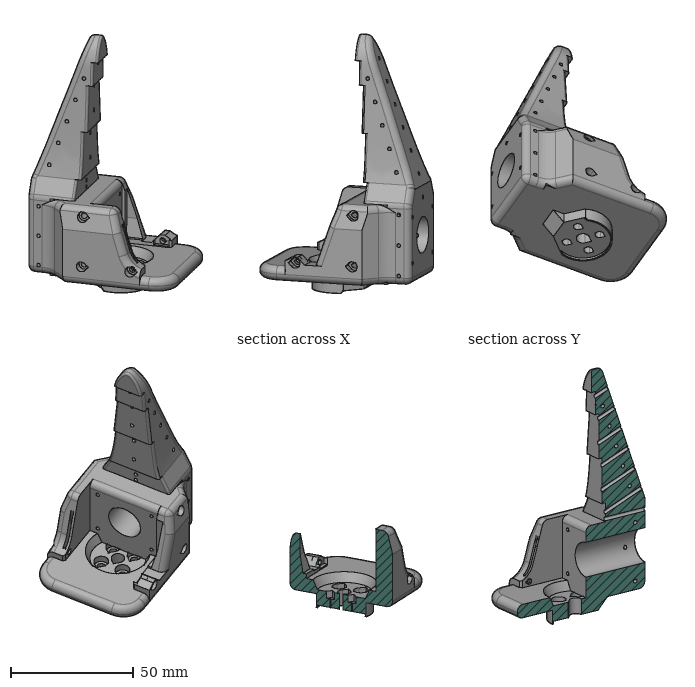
import cadquery as cq
import math

LENGTH = 65.2
HALF_WIDTH = 24.0
REAR_HALF_WIDTH = 16.0
BLOCK_HEIGHT = 33.0
FINGER_TOP = 100.38
EDGE_RADIUS = 3.0
REAR_EDGE_RADIUS = 2.8
CLEARANCE = 1.0
SELECT_TOLERANCE = 0.1

FLARE_RADIUS = 9.0
FLARE_ANGLE = 45.0
FLARE_END_X = 18.2
PLATE_THICKNESS = 6.0
PLATE_CORNER_RADIUS = 10.0
PLATE_EDGE_RADIUS = 2.99

BLOCK_REAR_X = 10.0
BLOCK_FRONT_X = 30.3
BLOCK_EDGE_RADIUS = 2.75
WALL_INNER_Y = 16.0
WALL_SPLIT_X = 27.0
WALL_FRONT_X = 51.4
WALL_FRONT_HEIGHT = 8.8
WALL_SLOPE_TOP_X = 39.8
WALL_SLOPE_BOTTOM = (45.3, 15.0)
PLUS_SLOPE_TOP_X = 29.8
WALL_CORNER_CHAMFER = 0.9
TAPER_START_Z = 23.4
TAPER_ANGLE = 15.0

NOTCH_FLOOR_Z = 7.4
NOTCH_START_X = 38.8
NOTCH_END_X = 43.0
NOTCH_RAMP = 3.1

PLUS_POCKET_X = (31.4, 38.9)
PLUS_POCKET_FLOOR_Z = 8.0
PLUS_POCKET_FLOOR_DEPTH = 1.7
PLUS_POCKET_DEPTH = 3.0
PLUS_POCKET_TAPER_HEIGHT = 8.0
PLUS_NUT_X = (43.9, 50.5)
PLUS_NUT_Y = (16.0, 17.8)
MINUS_NUT_X = (41.9, 48.4)
MINUS_NUT_Y = (-18.3, -17.1)
NUT_FLOOR_Z = 6.5

FINGER_SLOPE_START_Z = 39.1
FINGER_SLOPE_ANGLE = 20.0
FINGER_BASE_Z = 41.0
FINGER_SHOULDER = (11.9, FINGER_BASE_Z)
SHOULDER_LEAN = 0.3
FINGER_SIDE = [(10.0, 50.0), (8.4, 66.0), (6.9, 84.0), (5.0, 95.0)]
SHOULDER_FOOT_RADIUS = 5.0
FINGER_ROOT_Z = 10.0
STEPS = [
    (FINGER_BASE_Z, 20.35),
    (60.8, 22.0),
    (80.4, 23.6),
    (90.4, 25.4),
    (FINGER_TOP, 27.4),
]
STEP_EDGE_RADIUS = 1.0

CUP_X = 35.2
CUP_TOP_RADIUS = 13.3
CUP_FLOOR_RADIUS = 11.4
CUP_FLOOR_Z = 2.0
BOSS_RADIUS = 12.0
BOSS_DEPTH = 6.0
OCTAGON_APOTHEM = 11.2
OCTAGON_DEPTH = 4.9

PIN_DIAMETER = 1.5
BORE_DIAMETER = 15.0
BORE_CENTER = (0.35, 18.45)
FACE_PIN_SPACING = (25.3, 19.1)
TOP_PIN_Z = 34.1
SIDE_PIN_X = 5.0
SIDE_PIN_Z = (3.8, 16.5, 29.25)
FINGER_PIN_PITCH = 10.0
FINGER_SIDE_PIN_START = (7.85, 45.8)
FINGER_SIDE_PIN_COUNT = 5
FINGER_BACK_PIN_START_Z = 43.85
FINGER_BACK_PIN_COUNT = 6
CUP_SCREW_OFFSET = 5.0
CUP_SCREW_RADIUS = 1.75
CUP_SCREW_HEAD_RADIUS = 3.0
CUP_SCREW_HEAD_DEPTH = 3.0
CUP_CENTER_RADIUS = 2.7
WALL_SCREW_Z = (8.0, 29.0)
MINUS_SCREW_X = 26.2
PLUS_SCREW_X = 22.4
FRONT_SCREW_X = 47.1
WALL_SCREW_RADIUS = 1.2
WALL_SCREW_HEAD_RADIUS = 2.1
WALL_SCREW_HEAD_DEPTH = 3.5
WALL_SCREW_DEPTH = 9.0


def box(x_range, y_range, z_range):
    size = [r[1] - r[0] for r in (x_range, y_range, z_range)]
    corner = (x_range[0], y_range[0], z_range[0])
    return cq.Workplane("XY").box(*size, centered=False).translate(corner)


def plan_outline(front_x):
    """Plan of the body: narrow rear, S-shaped flare to full width, front end at front_x."""
    angle = math.radians(FLARE_ANGLE)
    arc_end_y = REAR_HALF_WIDTH + FLARE_RADIUS * (1 - math.cos(angle))
    arc_end_x = FLARE_END_X - (HALF_WIDTH - arc_end_y) / math.tan(angle)
    arc_start_x = arc_end_x - FLARE_RADIUS * math.sin(angle)
    mid_x = arc_start_x + FLARE_RADIUS * math.sin(angle / 2)
    mid_y = REAR_HALF_WIDTH + FLARE_RADIUS * (1 - math.cos(angle / 2))
    return (
        cq.Workplane("XY")
        .moveTo(0, -REAR_HALF_WIDTH)
        .lineTo(arc_start_x, -REAR_HALF_WIDTH)
        .threePointArc((mid_x, -mid_y), (arc_end_x, -arc_end_y))
        .lineTo(FLARE_END_X, -HALF_WIDTH)
        .lineTo(front_x, -HALF_WIDTH)
        .lineTo(front_x, HALF_WIDTH)
        .lineTo(FLARE_END_X, HALF_WIDTH)
        .lineTo(arc_end_x, arc_end_y)
        .threePointArc((mid_x, mid_y), (arc_start_x, REAR_HALF_WIDTH))
        .lineTo(0, REAR_HALF_WIDTH)
        .close()
    )


def make_plate():
    plate = plan_outline(LENGTH).extrude(PLATE_THICKNESS)
    plate = plate.edges("|Z and >X").fillet(PLATE_CORNER_RADIUS)
    plate = plate.edges("|Z and <X").fillet(REAR_EDGE_RADIUS)
    return plate.faces("<Z or >Z").edges().fillet(PLATE_EDGE_RADIUS)


def tapered_envelope():
    """Block envelope: plan outline with rounded rear and underside, sides leaning in near the top."""
    envelope = plan_outline(WALL_FRONT_X).extrude(BLOCK_HEIGHT)
    envelope = envelope.edges("|Z and <X").fillet(REAR_EDGE_RADIUS)
    envelope = envelope.edges("<Z").edges("not >X").fillet(EDGE_RADIUS)
    top_half_width = HALF_WIDTH - (BLOCK_HEIGHT - TAPER_START_Z) * math.tan(math.radians(TAPER_ANGLE))
    section = (
        cq.Workplane("YZ")
        .polyline([
            (-HALF_WIDTH, 0), (HALF_WIDTH, 0),
            (HALF_WIDTH, TAPER_START_Z), (top_half_width, BLOCK_HEIGHT),
            (-top_half_width, BLOCK_HEIGHT), (-HALF_WIDTH, TAPER_START_Z),
        ])
        .close()
        .extrude(WALL_FRONT_X)
    )
    return envelope.intersect(section)


def minus_wall_stock():
    """-Y wall seen from the side: sloped front, then a concave sweep down to the low front end."""
    return (
        cq.Workplane("XZ")
        .moveTo(0, 0)
        .lineTo(0, BLOCK_HEIGHT)
        .lineTo(WALL_SLOPE_TOP_X, BLOCK_HEIGHT)
        .lineTo(*WALL_SLOPE_BOTTOM)
        .tangentArcPoint((WALL_FRONT_X, WALL_FRONT_HEIGHT), relative=False)
        .lineTo(WALL_FRONT_X, 0)
        .close()
        .extrude(HALF_WIDTH, both=True)
    )


def plus_wall_stock():
    """+Y wall seen from the side: slope set further back, notch, ramp and ledge under the same sweep."""
    ledge_z = NOTCH_FLOOR_Z + NOTCH_RAMP
    notched = (
        cq.Workplane("XZ")
        .polyline([
            (0, 0),
            (0, BLOCK_HEIGHT),
            (PLUS_SLOPE_TOP_X, BLOCK_HEIGHT),
            (NOTCH_START_X, NOTCH_FLOOR_Z),
            (NOTCH_END_X, NOTCH_FLOOR_Z),
            (NOTCH_END_X + NOTCH_RAMP, ledge_z),
            (WALL_FRONT_X, ledge_z),
            (WALL_FRONT_X, 0),
        ])
        .close()
        .extrude(HALF_WIDTH, both=True)
    )
    return notched.intersect(minus_wall_stock())


def round_wall(wall, side):
    """Round the wall's top edges, its upper front edge and the outer edge of its sloped front."""
    outer_y = side * (HALF_WIDTH + CLEARANCE)
    top_z = BLOCK_HEIGHT - SELECT_TOLERANCE
    top_region = cq.selectors.BoxSelector(
        (REAR_EDGE_RADIUS + CLEARANCE, side * CLEARANCE, top_z),
        (WALL_FRONT_X, outer_y, BLOCK_HEIGHT + SELECT_TOLERANCE),
    )
    front_region = cq.selectors.BoxSelector(
        (BLOCK_FRONT_X, side * WALL_INNER_Y, NOTCH_FLOOR_Z + NOTCH_RAMP),
        (WALL_FRONT_X - SELECT_TOLERANCE, outer_y, top_z),
    )
    rim = wall.edges(top_region).vals() + wall.edges(front_region).edges("not |X").vals()
    return wall.newObject(rim).fillet(EDGE_RADIUS)


def make_wall(envelope, side, stock):
    """Cheek wall on the given side (+1 or -1) together with its share of the block."""
    y_half = sorted((0, side * HALF_WIDTH))
    wall = envelope.intersect(stock).intersect(box((0, LENGTH), y_half, (0, BLOCK_HEIGHT)))
    wall = round_wall(wall, side)
    y_gap = sorted((-side * CLEARANCE, side * WALL_INNER_Y))
    gap = box((WALL_SPLIT_X, LENGTH), y_gap, (-CLEARANCE, BLOCK_HEIGHT + CLEARANCE))
    wall = wall.cut(gap)
    inner_front_corner = cq.selectors.BoxSelector(
        (WALL_FRONT_X - SELECT_TOLERANCE, side * WALL_INNER_Y - SELECT_TOLERANCE, 0),
        (WALL_FRONT_X + SELECT_TOLERANCE, side * WALL_INNER_Y + SELECT_TOLERANCE, BLOCK_HEIGHT),
    )
    return wall.edges(inner_front_corner).chamfer(WALL_CORNER_CHAMFER)


def make_block():
    """Centre of the block between the walls, with its upper front edge rounded."""
    block = box((BLOCK_REAR_X, BLOCK_FRONT_X), (-WALL_INNER_Y, WALL_INNER_Y), (0, BLOCK_HEIGHT))
    return block.edges(">X and >Z").fillet(BLOCK_EDGE_RADIUS)


def finger_outline():
    """Finger seen along X: square root, angled shoulders, and a spline tapering to a rounded tip."""
    right_side = [(y, z) for y, z in reversed(FINGER_SIDE)] + [FINGER_SHOULDER]
    left_side = [(-y, z) for y, z in FINGER_SIDE]
    return (
        cq.Workplane("YZ")
        .moveTo(-REAR_HALF_WIDTH, FINGER_ROOT_Z)
        .lineTo(-REAR_HALF_WIDTH, BLOCK_HEIGHT)
        .lineTo(-FINGER_SHOULDER[0], FINGER_SHOULDER[1])
        .spline(
            left_side + [(0, FINGER_TOP)] + right_side,
            tangents=[(SHOULDER_LEAN, 1), (SHOULDER_LEAN, -1)],
            includeCurrent=True,
        )
        .lineTo(REAR_HALF_WIDTH, BLOCK_HEIGHT)
        .lineTo(REAR_HALF_WIDTH, FINGER_ROOT_Z)
        .close()
    )


def make_finger_blank():
    """Finger up to its foremost step, with the leaning rear face and rounded rear edges."""
    front_x = STEPS[-1][1]
    slope = math.radians(FINGER_SLOPE_ANGLE)
    cut_top_z = FINGER_TOP + CLEARANCE
    slope_run = (cut_top_z - FINGER_SLOPE_START_Z) * math.tan(slope)
    side_profile = (
        cq.Workplane("XZ")
        .polyline([
            (0, FINGER_ROOT_Z), (0, FINGER_SLOPE_START_Z),
            (slope_run, cut_top_z), (front_x, cut_top_z), (front_x, FINGER_ROOT_Z),
        ])
        .close()
        .extrude(HALF_WIDTH, both=True)
    )
    blank = finger_outline().extrude(front_x).intersect(side_profile)
    shoulder_feet = cq.selectors.BoxSelector(
        (0, -HALF_WIDTH, BLOCK_HEIGHT - CLEARANCE), (LENGTH, HALF_WIDTH, BLOCK_HEIGHT + CLEARANCE)
    )
    blank = blank.edges(shoulder_feet).edges("|X").fillet(SHOULDER_FOOT_RADIUS)
    leaning_normal_x = -math.cos(slope)
    rear_faces = [f for f in blank.faces().vals() if f.normalAt().x < leaning_normal_x + SELECT_TOLERANCE]
    bend_center = cq.Vector(0, 0, FINGER_SLOPE_START_Z)
    rim = [
        edge
        for face in rear_faces
        for edge in face.Edges()
        if edge.Center().z > FINGER_ROOT_Z + CLEARANCE and (edge.Center() - bend_center).Length > CLEARANCE
    ]
    return blank.newObject(rim).fillet(REAR_EDGE_RADIUS)


def make_finger():
    """Finger with its front cut back in steps, the upright edges of each step rounded."""
    finger = make_finger_blank()
    bottom_z = FINGER_ROOT_Z
    for top_z, front_x in STEPS:
        if top_z < FINGER_TOP:
            removed = box((front_x, LENGTH), (-HALF_WIDTH, HALF_WIDTH), (bottom_z - CLEARANCE, top_z))
            finger = finger.cut(removed)
        step_front = cq.selectors.BoxSelector(
            (front_x - SELECT_TOLERANCE, -HALF_WIDTH, bottom_z + SELECT_TOLERANCE),
            (front_x + SELECT_TOLERANCE, HALF_WIDTH, top_z - SELECT_TOLERANCE),
        )
        finger = finger.edges(step_front).fillet(STEP_EDGE_RADIUS)
        bottom_z = top_z
    return finger


def make_boss():
    """Boss under the cup: octagon with a lead-in ramp at the rear, deeper round rim at the front."""
    sides = 8
    half_sector = 180 / sides
    half_side = OCTAGON_APOTHEM * math.tan(math.radians(half_sector))
    octagon_diameter = 2 * OCTAGON_APOTHEM / math.cos(math.radians(half_sector))
    octagon = (
        cq.Workplane("XY")
        .center(CUP_X, 0)
        .transformed(rotate=(0, 0, half_sector))
        .polygon(sides, octagon_diameter)
        .extrude(-OCTAGON_DEPTH)
    )
    rear_half = box((0, CUP_X), (-HALF_WIDTH, HALF_WIDTH), (-OCTAGON_DEPTH, 0))
    octagon = octagon.intersect(rear_half)
    rim_start_x = CUP_X - half_side
    rim_end_x = CUP_X + BOSS_RADIUS
    rim = cq.Workplane("XY").center(CUP_X, 0).circle(BOSS_RADIUS).extrude(-BOSS_DEPTH)
    rim_space = (
        cq.Workplane("XZ")
        .polyline([
            (rim_start_x, 0), (rim_start_x, -OCTAGON_DEPTH),
            (rim_start_x + BOSS_DEPTH - OCTAGON_DEPTH, -BOSS_DEPTH),
            (rim_end_x, -BOSS_DEPTH), (rim_end_x, 0),
        ])
        .close()
        .extrude(BOSS_RADIUS, both=True)
    )
    hollow = (
        cq.Workplane("XY", origin=(CUP_X, 0, -BOSS_DEPTH))
        .circle(CUP_FLOOR_RADIUS)
        .extrude(BOSS_DEPTH - OCTAGON_DEPTH)
    )
    octagon_rear_x = CUP_X - OCTAGON_APOTHEM
    ramp = (
        cq.Workplane("XZ")
        .polyline([
            (octagon_rear_x - OCTAGON_DEPTH, 0), (octagon_rear_x, -OCTAGON_DEPTH),
            (CUP_X, -OCTAGON_DEPTH), (CUP_X, 0),
        ])
        .close()
        .extrude(half_side, both=True)
    )
    return rim.intersect(rim_space).cut(hollow).union(octagon).union(ramp)


def teardrop(plane, radius, depth):
    """Hole along the plane's normal whose outline runs out to a right-angled point in its +X direction."""
    touch = radius / math.sqrt(2)
    return (
        plane.moveTo(touch, touch)
        .threePointArc((-radius, 0), (touch, -touch))
        .lineTo(2 * touch, 0)
        .close()
        .extrude(depth)
    )


def cut_cup(body):
    """Conical cup in front of the block, with a centre hole and four sunk screw holes in its floor."""
    cup_depth = PLATE_THICKNESS - CUP_FLOOR_Z
    cup = (
        cq.Workplane("XY", origin=(CUP_X, 0, CUP_FLOOR_Z))
        .circle(CUP_FLOOR_RADIUS)
        .workplane(offset=cup_depth)
        .circle(CUP_TOP_RADIUS)
        .loft(ruled=True)
    )
    in_front_of_block = box(
        (BLOCK_FRONT_X, LENGTH), (-WALL_INNER_Y, WALL_INNER_Y), (0, BLOCK_HEIGHT)
    )
    body = body.cut(cup.intersect(in_front_of_block))
    through_depth = CUP_FLOOR_Z + BOSS_DEPTH + CLEARANCE
    centre = cq.Workplane("XY", origin=(CUP_X, 0, CUP_FLOOR_Z))
    body = body.cut(teardrop(centre, CUP_CENTER_RADIUS, -through_depth))
    for dx in (-CUP_SCREW_OFFSET, CUP_SCREW_OFFSET):
        for dy in (-CUP_SCREW_OFFSET, CUP_SCREW_OFFSET):
            screw = cq.Workplane("XY", origin=(CUP_X + dx, dy, CUP_FLOOR_Z))
            body = body.cut(teardrop(screw, CUP_SCREW_RADIUS, -through_depth))
            body = body.cut(teardrop(screw, CUP_SCREW_HEAD_RADIUS, -CUP_SCREW_HEAD_DEPTH))
    return body


def cut_wall_screws(body):
    """Blind rear screws in both walls and one screw through the foot of each wall, heads sunk outside."""
    low_z, high_z = WALL_SCREW_Z
    for side, rear_x in ((-1, MINUS_SCREW_X), (1, PLUS_SCREW_X)):
        for x, z in ((rear_x, low_z), (rear_x, high_z), (FRONT_SCREW_X, low_z)):
            plane = cq.Workplane("XZ", origin=(x, side * HALF_WIDTH, z))
            body = body.cut(teardrop(plane, WALL_SCREW_RADIUS, side * WALL_SCREW_DEPTH))
            body = body.cut(teardrop(plane, WALL_SCREW_HEAD_RADIUS, side * WALL_SCREW_HEAD_DEPTH))
    return body


def cut_pockets(body):
    """Upward-opening recesses on the inner sides of the walls: one tapered, two straight nut slots."""
    tapered_pocket = (
        cq.Workplane("YZ", origin=(PLUS_POCKET_X[0], 0, 0))
        .polyline([
            (WALL_INNER_Y, PLUS_POCKET_FLOOR_Z),
            (WALL_INNER_Y + PLUS_POCKET_FLOOR_DEPTH, PLUS_POCKET_FLOOR_Z),
            (WALL_INNER_Y + PLUS_POCKET_DEPTH, PLUS_POCKET_FLOOR_Z + PLUS_POCKET_TAPER_HEIGHT),
            (WALL_INNER_Y + PLUS_POCKET_DEPTH, BLOCK_HEIGHT),
            (WALL_INNER_Y, BLOCK_HEIGHT),
        ])
        .close()
        .extrude(PLUS_POCKET_X[1] - PLUS_POCKET_X[0])
    )
    nut_height = (NUT_FLOOR_Z, BLOCK_HEIGHT)
    return (
        body.cut(tapered_pocket)
        .cut(box(PLUS_NUT_X, PLUS_NUT_Y, nut_height))
        .cut(box(MINUS_NUT_X, MINUS_NUT_Y, nut_height))
    )


def cut_bore(body):
    bore = (
        cq.Workplane("YZ", origin=(-CLEARANCE, *BORE_CENTER))
        .circle(BORE_DIAMETER / 2)
        .extrude(BLOCK_FRONT_X + 2 * CLEARANCE)
    )
    return body.cut(bore)


def cut_pin(body, start, direction, length):
    pin = cq.Solid.makeCylinder(PIN_DIAMETER / 2, length, cq.Vector(*start), cq.Vector(*direction))
    return body.cut(cq.Workplane(pin))


def cut_pins(body):
    """Pin holes: along X around the bore, along Y through block and finger, and square to the finger back."""
    rear_x = -CLEARANCE
    along_x = (1, 0, 0)
    along_y = (0, 1, 0)
    block_through = BLOCK_FRONT_X + 2 * CLEARANCE
    width_through = 2 * (HALF_WIDTH + CLEARANCE)
    for y_sign in (-1, 1):
        for z_sign in (-1, 1):
            y = BORE_CENTER[0] + y_sign * FACE_PIN_SPACING[0] / 2
            z = BORE_CENTER[1] + z_sign * FACE_PIN_SPACING[1] / 2
            body = cut_pin(body, (rear_x, y, z), along_x, block_through)
    body = cut_pin(body, (rear_x, 0, TOP_PIN_Z), along_x, block_through)

    for z in SIDE_PIN_Z:
        body = cut_pin(body, (SIDE_PIN_X, -HALF_WIDTH - CLEARANCE, z), along_y, width_through)

    slope = math.radians(FINGER_SLOPE_ANGLE)
    step_x = FINGER_PIN_PITCH * math.sin(slope)
    step_z = FINGER_PIN_PITCH * math.cos(slope)
    for i in range(FINGER_SIDE_PIN_COUNT):
        x = FINGER_SIDE_PIN_START[0] + i * step_x
        z = FINGER_SIDE_PIN_START[1] + i * step_z
        body = cut_pin(body, (x, -HALF_WIDTH - CLEARANCE, z), along_y, width_through)

    into_slope = (math.cos(slope), 0, -math.sin(slope))
    for i in range(FINGER_BACK_PIN_COUNT):
        z = FINGER_BACK_PIN_START_Z + i * step_z
        x = (z - FINGER_SLOPE_START_Z) * math.tan(slope)
        body = cut_pin(body, (x, 0, z), into_slope, BLOCK_FRONT_X)
    return body


envelope = tapered_envelope()
body = make_plate().union(make_block()).union(make_boss())
body = body.union(make_wall(envelope, -1, minus_wall_stock()))
body = body.union(make_wall(envelope, 1, plus_wall_stock()))
body = body.union(make_finger())
body = cut_cup(body)
body = cut_pockets(body)
body = cut_wall_screws(body)
body = cut_bore(body)
result = cut_pins(body)